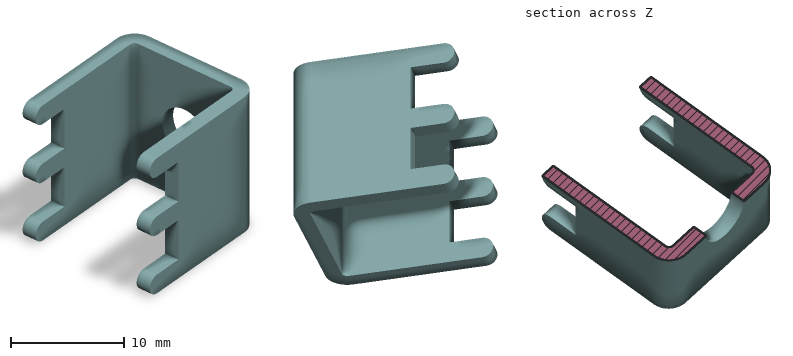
import cadquery as cq

width = 14.5
depth = 15.2
height = 14.5
thickness = 1.5
inner_bend_radius = 0.5
hole_diameter = 5.0
pin_width = 2.0
pin_length = 4.0
pin_count = 3

outer_bend_radius = inner_bend_radius + thickness
pin_radius = pin_width / 2
pin_pitch = (height - pin_width) / (pin_count - 1)
back_y = depth / 2
pin_tip_y = -depth / 2
leg_end_y = pin_tip_y + pin_length


def bent_block(block_width, block_back_y, bend_radius):
    """Full-height block whose two vertical back edges are rounded."""
    length = block_back_y - leg_end_y
    block = cq.Workplane("XY").box(block_width, length, height)
    block = block.edges("|Z and >Y").fillet(bend_radius)
    return block.translate((0, (block_back_y + leg_end_y) / 2, 0))


def make_channel():
    """U-shaped sheet, open toward -Y."""
    outside = bent_block(width, back_y, outer_bend_radius)
    inside = bent_block(width - 2 * thickness, back_y - thickness, inner_bend_radius)
    return outside.cut(inside)


def make_pin(leg_x, pin_z):
    """Round-ended pin whose root overlaps into the leg."""
    slot_length = pin_length + pin_width
    slot_center_y = pin_tip_y + slot_length / 2
    return (
        cq.Workplane("YZ", origin=(leg_x, slot_center_y, pin_z))
        .slot2D(slot_length, pin_width)
        .extrude(thickness / 2, both=True)
    )


result = make_channel()

leg_center_x = (width - thickness) / 2
for leg_x in (-leg_center_x, leg_center_x):
    for index in range(pin_count):
        pin_z = (index - (pin_count - 1) / 2) * pin_pitch
        result = result.union(make_pin(leg_x, pin_z))

hole = cq.Workplane("XZ", origin=(0, back_y, 0)).circle(hole_diameter / 2).extrude(thickness)
result = result.cut(hole)